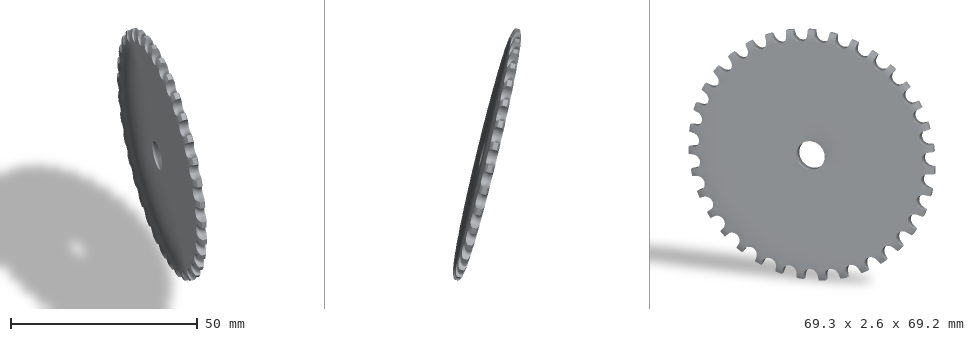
import cadquery as cq
import math

tooth_count = 35
tip_radius = 34.65
pitch_radius = 33.5
roller_seat_radius = 2.0
thickness = 2.6
bore_diameter = 8.0
flat_face_radius = 31.9
tip_width = 1.25
cut_clearance = 0.7
cutter_length = thickness + 2 * cut_clearance

pitch_angle = 360 / tooth_count
half_pitch_angle = math.radians(pitch_angle / 2)


def make_disc_blank():
    """Disc about the Y axis whose rim is rounded towards the tips by arcs tangent to the faces."""
    half_thickness = thickness / 2
    half_tip = tip_width / 2
    rim_height = tip_radius - flat_face_radius
    rim_drop = half_thickness - half_tip
    rim_arc_radius = (rim_height**2 + rim_drop**2) / (2 * rim_drop)
    half_sweep = math.asin(rim_height / rim_arc_radius) / 2
    mid_radius = flat_face_radius + rim_arc_radius * math.sin(half_sweep)
    mid_height = half_thickness - rim_arc_radius * (1 - math.cos(half_sweep))
    return (
        cq.Workplane("XY")
        .moveTo(0, -half_thickness)
        .lineTo(flat_face_radius, -half_thickness)
        .threePointArc((mid_radius, -mid_height), (tip_radius, -half_tip))
        .lineTo(tip_radius, half_tip)
        .threePointArc((mid_radius, mid_height), (flat_face_radius, half_thickness))
        .lineTo(0, half_thickness)
        .close()
        .revolve(360, (0, 0, 0), (0, 1, 0))
    )


def make_gap_cutter():
    """Roller gap on the +Z axis: a round seat, then flanks parallel to the neighbouring teeth."""
    side_x = roller_seat_radius * math.cos(half_pitch_angle)
    side_z = pitch_radius - roller_seat_radius * math.sin(half_pitch_angle)
    flank_rise = tip_radius + cut_clearance - side_z
    outer_x = side_x + flank_rise * math.tan(half_pitch_angle)
    outer_z = side_z + flank_rise
    return (
        cq.Workplane("XZ", origin=(0, cutter_length / 2, 0))
        .moveTo(-outer_x, outer_z)
        .lineTo(-side_x, side_z)
        .threePointArc((0, pitch_radius - roller_seat_radius), (side_x, side_z))
        .lineTo(outer_x, outer_z)
        .close()
        .extrude(cutter_length)
    )


def cut_gaps(disc):
    """Cut the roller gaps between the teeth; one tooth is centred on the +Z axis."""
    gap_cutter = make_gap_cutter()
    for index in range(tooth_count):
        angle = (index + 0.5) * pitch_angle
        disc = disc.cut(gap_cutter.rotate((0, 0, 0), (0, 1, 0), angle))
    return disc


def cut_bore(disc):
    """Cut the central shaft bore through the disc."""
    bore = (
        cq.Workplane("XZ", origin=(0, cutter_length / 2, 0))
        .circle(bore_diameter / 2)
        .extrude(cutter_length)
    )
    return disc.cut(bore)


result = cut_bore(cut_gaps(make_disc_blank()))